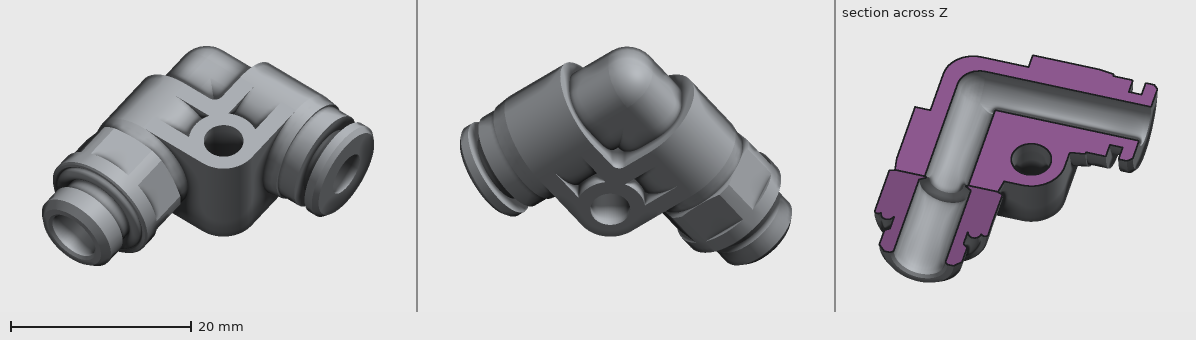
import cadquery as cq
import math

ARM_RADIUS = 6.2
ARM_START = 4.4
ARM_END = 12.13

ELBOW_HALF_WIDTH = 4.45
ELBOW_EDGE_RADIUS = 3.45
ELBOW_REACH = 9.45

LUG_HOLE_RADIUS = 2.2
LUG_BOSS_RADIUS = 3.87
LUG_CENTER = ARM_END - LUG_BOSS_RADIUS
LUG_INNER_FILLET = 1.0
LUG_POCKET_WIDTH = 3.72

TAPER_END_RADIUS = 5.95
TUBE_TAPER_END = 13.85
STUD_TOP = 13.75

COLLAR_RADIUS = 5.7
COLLAR_NECK_RADIUS = 3.97
COLLAR_NECK_START = 16.13
COLLAR_HEAD_START = 17.55
COLLAR_END = 19.1
COLLAR_CHAMFER = 0.55

PASSAGE_RADIUS = 2.5
ORIFICE_RADIUS = 2.0
BORE_RADIUS = 2.95
BORE_CHAMFER = 0.3
BORE_TIP_ANGLE = 118.0

HEX_APOTHEM = 6.02
HEX_TURN = 30.0
HEX_END = 18.33
HEX_CHAMFER_LENGTH = 0.2
FLANGE_RADIUS = 6.55
FLANGE_CHAMFER = 0.2
FLANGE_END = 20.3

SEAL_GROOVE_MOUTH_RADIUS = 6.02
SEAL_SECTION_RADIUS = 0.75
SEAL_PROTRUSION = 0.57

NECK_RADIUS = 4.25
THREAD_RADIUS = 4.8
THREAD_START = 21.95
THREAD_RELIEF_LENGTH = 0.38
THREAD_CHAMFER = 0.8
STUD_END = 25.3

seal_center_radius = NECK_RADIUS + SEAL_SECTION_RADIUS
seal_center = FLANGE_END + SEAL_PROTRUSION - SEAL_SECTION_RADIUS


def revolve_along_x(points):
    """Solid of revolution about X from (x, radius) points."""
    return cq.Workplane("XY").polyline(points).close().revolve(360, (0, 0, 0), (1, 0, 0))


def revolve_along_y(points):
    """Solid of revolution about Y from (radius, distance along -Y) points."""
    outline = [(-radius, -distance) for radius, distance in points]
    return cq.Workplane("XY").polyline(outline).close().revolve(360, (0, 0, 0), (0, 1, 0))


def slim_elbow():
    """Two square bars with rounded edges, mitred where they cross."""
    length = ELBOW_HALF_WIDTH + ELBOW_REACH
    width = 2 * ELBOW_HALF_WIDTH
    offset = (ELBOW_REACH - ELBOW_HALF_WIDTH) / 2
    along_x = cq.Workplane("XY").box(length, width, width).edges().fillet(ELBOW_EDGE_RADIUS)
    along_y = cq.Workplane("XY").box(width, length, width).edges().fillet(ELBOW_EDGE_RADIUS)
    return along_x.translate((offset, 0, 0)).union(along_y.translate((0, -offset, 0)))


def tube_arm():
    """Round arm along +X with its tapered shoulder and grooved release collar."""
    collar_chamfer_start = COLLAR_END - COLLAR_CHAMFER
    return revolve_along_x([
        (ARM_START, 0),
        (ARM_START, ARM_RADIUS),
        (ARM_END, ARM_RADIUS),
        (TUBE_TAPER_END, TAPER_END_RADIUS),
        (TUBE_TAPER_END, COLLAR_RADIUS),
        (COLLAR_NECK_START, COLLAR_RADIUS),
        (COLLAR_NECK_START, COLLAR_NECK_RADIUS),
        (COLLAR_HEAD_START, COLLAR_NECK_RADIUS),
        (COLLAR_HEAD_START, COLLAR_RADIUS),
        (collar_chamfer_start, COLLAR_RADIUS),
        (COLLAR_END, COLLAR_RADIUS - COLLAR_CHAMFER),
        (COLLAR_END, 0),
    ])


def stud_arm():
    """Round arm along -Y with the tapered shoulder that rests on the stud."""
    return revolve_along_y([
        (0, ARM_START),
        (ARM_RADIUS, ARM_START),
        (ARM_RADIUS, ARM_END),
        (TAPER_END_RADIUS, STUD_TOP),
        (0, STUD_TOP),
    ])


def lug():
    """Flat corner web with a round boss, open between its ribs along both arms."""
    height = 2 * ARM_RADIUS
    corner_reach = LUG_BOSS_RADIUS / math.sqrt(2)
    web = (
        cq.Workplane("XY")
        .workplane(offset=-ARM_RADIUS)
        .moveTo(0, -ARM_START)
        .lineTo(ARM_START, -ARM_START)
        .lineTo(ARM_START, 0)
        .lineTo(ARM_END, 0)
        .lineTo(ARM_END, -LUG_CENTER)
        .threePointArc(
            (LUG_CENTER + corner_reach, -LUG_CENTER - corner_reach),
            (LUG_CENTER, -ARM_END),
        )
        .lineTo(0, -ARM_END)
        .close()
        .extrude(height)
    )
    inner_corner = cq.selectors.NearestToPointSelector((ARM_START, -ARM_START, 0))
    web = web.edges("|Z").edges(inner_corner).fillet(LUG_INNER_FILLET)
    pocket_beside_tube_arm = (
        cq.Workplane("XY").box(LUG_POCKET_WIDTH, LUG_CENTER, height)
        .translate((LUG_CENTER, -LUG_CENTER / 2, 0))
    )
    pocket_beside_stud_arm = (
        cq.Workplane("XY").box(LUG_CENTER, LUG_POCKET_WIDTH, height)
        .translate((LUG_CENTER / 2, -LUG_CENTER, 0))
    )
    boss = (
        cq.Workplane("XY").center(LUG_CENTER, -LUG_CENTER)
        .circle(LUG_BOSS_RADIUS).extrude(ARM_RADIUS, both=True)
    )
    return web.cut(pocket_beside_tube_arm).cut(pocket_beside_stud_arm).union(boss)


def lug_hole():
    """Mounting hole through the lug, concentric with its boss."""
    return (
        cq.Workplane("XY").center(LUG_CENTER, -LUG_CENTER)
        .circle(LUG_HOLE_RADIUS).extrude(ARM_RADIUS, both=True)
    )


def flow_passage():
    """Passage with a ball corner, open at the collar end and at the stud."""
    ball_corner = cq.Workplane("XY").sphere(PASSAGE_RADIUS).rotate((0, 0, 0), (0, 1, 0), 90)
    tube_side = cq.Workplane("YZ").circle(PASSAGE_RADIUS).extrude(COLLAR_END)
    stud_side = cq.Workplane("XZ").circle(PASSAGE_RADIUS).extrude(STUD_TOP)
    return tube_side.union(stud_side).union(ball_corner)


def make_housing():
    """Elbow housing with its lug and release collar."""
    solid = slim_elbow().union(tube_arm()).union(stud_arm()).union(lug())
    return solid.cut(lug_hole()).cut(flow_passage())


def hexagon():
    """Hexagon with its corners turned down to the flange radius and chamfered on top."""
    prism = (
        cq.Workplane("XZ").workplane(offset=STUD_TOP)
        .polygon(6, 2 * HEX_APOTHEM, circumscribed=True).extrude(HEX_END - STUD_TOP)
        .rotate((0, 0, 0), (0, 1, 0), HEX_TURN)
    )
    turned = revolve_along_y([
        (0, STUD_TOP),
        (HEX_APOTHEM, STUD_TOP),
        (FLANGE_RADIUS, STUD_TOP + HEX_CHAMFER_LENGTH),
        (FLANGE_RADIUS, HEX_END),
        (0, HEX_END),
    ])
    return prism.intersect(turned)


def flange_and_thread():
    """Flange with a tapered seal groove in its face, then the neck and threaded end."""
    seal_outer_radius = NECK_RADIUS + 2 * SEAL_SECTION_RADIUS
    return revolve_along_y([
        (0, HEX_END),
        (FLANGE_RADIUS, HEX_END),
        (FLANGE_RADIUS, FLANGE_END - FLANGE_CHAMFER),
        (FLANGE_RADIUS - FLANGE_CHAMFER, FLANGE_END),
        (SEAL_GROOVE_MOUTH_RADIUS, FLANGE_END),
        (seal_outer_radius, seal_center),
        (NECK_RADIUS, seal_center),
        (NECK_RADIUS, THREAD_START),
        (THREAD_RADIUS, THREAD_START + THREAD_RELIEF_LENGTH),
        (THREAD_RADIUS, STUD_END - THREAD_CHAMFER),
        (THREAD_RADIUS - THREAD_CHAMFER, STUD_END),
        (0, STUD_END),
    ])


def seal_ring():
    """Round-section ring seated on the neck, standing proud of the flange face."""
    return (
        cq.Workplane("YZ").center(-seal_center, seal_center_radius)
        .circle(SEAL_SECTION_RADIUS)
        .revolve(360, (0, -seal_center_radius, 0), (1, -seal_center_radius, 0))
    )


def stud_bore():
    """Drilled bore whose conical tip opens into the housing, chamfered at its mouth."""
    half_tip_angle = math.radians(BORE_TIP_ANGLE / 2)
    tip_length = (BORE_RADIUS - ORIFICE_RADIUS) / math.tan(half_tip_angle)
    return revolve_along_y([
        (0, STUD_TOP),
        (ORIFICE_RADIUS, STUD_TOP),
        (BORE_RADIUS, STUD_TOP + tip_length),
        (BORE_RADIUS, STUD_END - BORE_CHAMFER),
        (BORE_RADIUS + BORE_CHAMFER, STUD_END),
        (0, STUD_END),
    ])


def make_stud():
    """Hexagon stud with its seal ring and threaded end."""
    solid = hexagon().union(flange_and_thread()).union(seal_ring())
    return solid.cut(stud_bore())


housing = make_housing()
stud = make_stud()

result = cq.Compound.makeCompound([housing.val(), stud.val()])